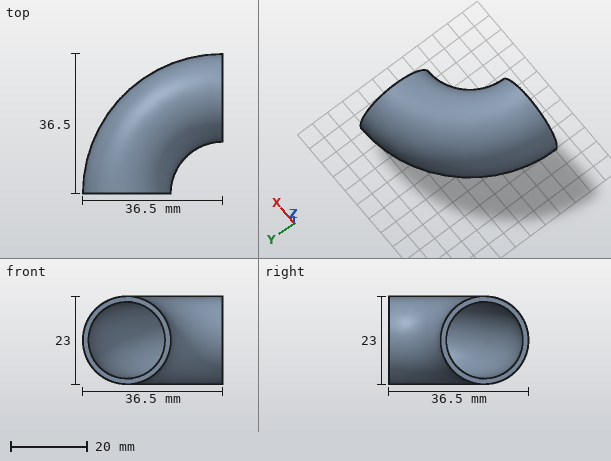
import cadquery as cq

outer_length = 36.5
outer_diameter = 23.0
wall_thickness = 1.5
bend_angle = 90.0

outer_radius = outer_diameter / 2
inner_radius = outer_radius - wall_thickness
bend_radius = outer_length - outer_radius

pipe_section = cq.Workplane("XZ").circle(outer_radius).circle(inner_radius)

axis_start = (bend_radius, 0)
axis_end = (bend_radius, -1)
result = pipe_section.revolve(bend_angle, axis_start, axis_end)